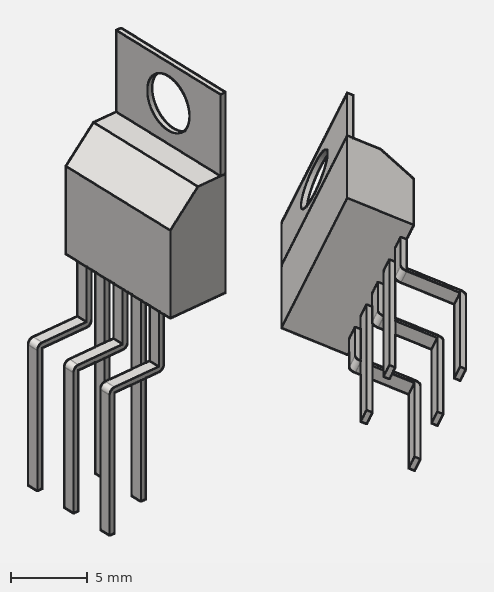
import cadquery as cq

width = 10.4
total_depth = 9.05
total_height = 31.05

housing_depth = 4.78
housing_bottom = 15.55
housing_top = 24.75
housing_chamfer = 2.4

tab_thickness = 0.45
tab_hole_diameter = 4.2
tab_hole_height = 27.88

lead_count = 5
lead_pitch = 1.8
lead_width = 0.93
lead_thickness = 0.45
bend_top = 11.3
bend_radius = lead_thickness

lead_front = -housing_depth
lead_back = lead_front + lead_thickness
bent_front = -total_depth
bent_back = bent_front + lead_thickness
bend_bottom = bend_top - lead_thickness


def extrude_across(profile, length):
    """Extrude a closed YZ profile along X, centred on X = 0."""
    return profile.extrude(length / 2, both=True)


def make_housing():
    """Block with a chamfer along its upper front edge."""
    profile = (
        cq.Workplane("YZ")
        .moveTo(0, housing_bottom)
        .lineTo(-housing_depth, housing_bottom)
        .lineTo(-housing_depth, housing_top - housing_chamfer)
        .lineTo(-housing_depth + housing_chamfer, housing_top)
        .lineTo(0, housing_top)
        .close()
    )
    return extrude_across(profile, width)


def make_tab():
    """Thin plate standing on the housing, flush with its back, with a round hole."""
    plate = cq.Workplane("XY").box(
        width, tab_thickness, total_height - housing_top, centered=(True, False, False)
    ).translate((0, -tab_thickness, housing_top))
    hole = (
        cq.Workplane("XZ")
        .center(0, tab_hole_height)
        .circle(tab_hole_diameter / 2)
        .extrude(tab_thickness)
    )
    return plate.cut(hole)


def make_straight_lead(x):
    """Flat lead running straight down, flush with the housing front."""
    lead = cq.Workplane("XY").box(
        lead_width, lead_thickness, housing_bottom, centered=(True, False, False)
    )
    return lead.translate((x, lead_front, 0))


def make_bent_lead(x):
    """Lead stepped forward by two bends, rounded outside and sharp inside."""
    profile = (
        cq.Workplane("YZ")
        .moveTo(lead_back, housing_bottom)
        .lineTo(lead_front, housing_bottom)
        .lineTo(lead_front, bend_top)
        .lineTo(bent_front + bend_radius, bend_top)
        .radiusArc((bent_front, bend_top - bend_radius), -bend_radius)
        .lineTo(bent_front, 0)
        .lineTo(bent_back, 0)
        .lineTo(bent_back, bend_bottom)
        .lineTo(lead_back - bend_radius, bend_bottom)
        .radiusArc((lead_back, bend_bottom + bend_radius), -bend_radius)
        .close()
    )
    return extrude_across(profile, lead_width).translate((x, 0, 0))


housing = make_housing()
tab = make_tab()

bent_leads = []
straight_leads = []
for index in range(lead_count):
    lead_x = (index - (lead_count - 1) / 2) * lead_pitch
    if index % 2 == 0:
        bent_leads.append(make_bent_lead(lead_x).val())
    else:
        straight_leads.append(make_straight_lead(lead_x).val())

result = cq.Compound.makeCompound([housing.val(), tab.val(), *bent_leads, *straight_leads])